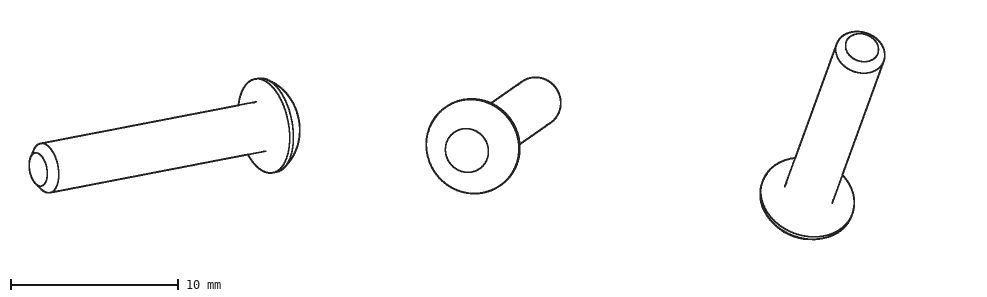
import cadquery as cq
import math

total_length = 17.65
head_height = 1.65
head_radius = 5.7 / 2
crown_radius = 1.32
rim_height = 0.26
dome_bulge = 0.2
shank_radius = 3.0 / 2
neck_fillet = 0.2
tip_chamfer = 0.5

tip_y = head_height - total_length

dome_run = head_radius - crown_radius
dome_rise = head_height - rim_height
dome_chord = math.hypot(dome_run, dome_rise)
dome_middle = (
    (head_radius + crown_radius) / 2 + dome_bulge * dome_rise / dome_chord,
    (head_height + rim_height) / 2 + dome_bulge * dome_run / dome_chord,
)

fillet_inset = neck_fillet * (1 - math.sqrt(0.5))
neck_middle = (shank_radius + fillet_inset, -fillet_inset)

half_profile = (
    cq.Workplane("XY")
    .moveTo(0, tip_y)
    .lineTo(shank_radius - tip_chamfer, tip_y)
    .lineTo(shank_radius, tip_y + tip_chamfer)
    .lineTo(shank_radius, -neck_fillet)
    .threePointArc(neck_middle, (shank_radius + neck_fillet, 0))
    .lineTo(head_radius, 0)
    .lineTo(head_radius, rim_height)
    .threePointArc(dome_middle, (crown_radius, head_height))
    .lineTo(0, head_height)
    .close()
)

result = half_profile.revolve(360, (0, 0, 0), (0, 1, 0))